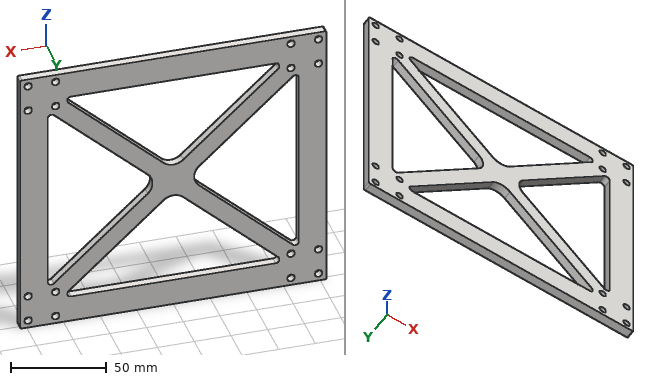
import cadquery as cq
import math

width = 167.0
thickness = 5.0
height = 154.0
edge_radius = 1.0

hole_diameter = 4.0
hole_inset = 4.3
hole_pitch = 15.0

frame_width = 15.0
strut_width = 10.0
outer_corner_radius = 2.0
hub_radius = 8.0

half_opening_x = width / 2 - frame_width
half_opening_z = height / 2 - frame_width

strut_angle = math.atan2(half_opening_z, half_opening_x)
strut_slope = math.tan(strut_angle)
apex_x = strut_width / 2 / math.sin(strut_angle)
apex_z = strut_width / 2 / math.cos(strut_angle)


def triangular_pocket(apex, corner_a, corner_b):
    """Through cutter with a large round at the hub and small ones at the frame."""
    pocket = (
        cq.Workplane("XZ")
        .polyline([apex, corner_a, corner_b])
        .close()
        .extrude(thickness / 2, both=True)
    )
    hub_edge = cq.selectors.NearestToPointSelector((apex[0], 0, apex[1]))
    pocket = pocket.edges("|Y").edges(hub_edge).fillet(hub_radius)
    for x, z in (corner_a, corner_b):
        corner_edge = cq.selectors.NearestToPointSelector((x, 0, z))
        pocket = pocket.edges("|Y").edges(corner_edge).fillet(outer_corner_radius)
    return pocket


result = cq.Workplane("XY").box(width, thickness, height).edges("|Y").fillet(edge_radius)

side_corner_z = (half_opening_x - apex_x) * strut_slope
end_corner_x = (half_opening_z - apex_z) / strut_slope
for side in (-1, 1):
    side_x = side * half_opening_x
    result = result.cut(
        triangular_pocket((side * apex_x, 0), (side_x, -side_corner_z), (side_x, side_corner_z))
    )
    end_z = side * half_opening_z
    result = result.cut(
        triangular_pocket((0, side * apex_z), (-end_corner_x, end_z), (end_corner_x, end_z))
    )

outer_hole_x = width / 2 - hole_inset
outer_hole_z = height / 2 - hole_inset
hole_points = [
    (side_x * (outer_hole_x - column * hole_pitch), side_z * (outer_hole_z - row * hole_pitch))
    for side_x in (-1, 1)
    for side_z in (-1, 1)
    for column in (0, 1)
    for row in (0, 1)
]
holes = (
    cq.Workplane("XZ")
    .pushPoints(hole_points)
    .circle(hole_diameter / 2)
    .extrude(thickness / 2, both=True)
)
result = result.cut(holes)